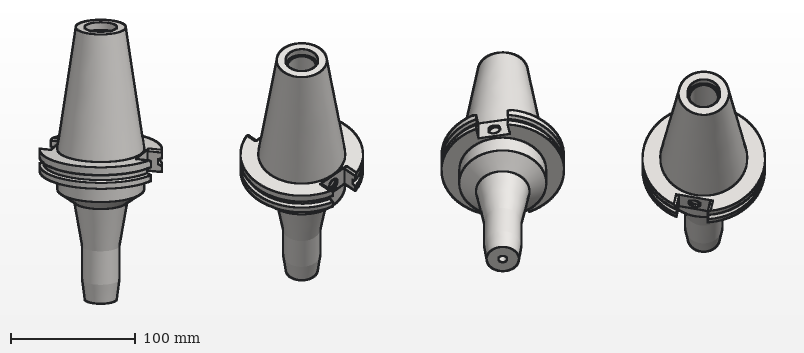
import cadquery as cq

total_length = 228.5
taper_length = 101.5
taper_slope = 7 / 24
gauge_radius = 35.0
gauge_z = total_length - taper_length
taper_end_radius = gauge_radius - taper_length * taper_slope / 2

flange_radius = 49.26
flange_bottom_z = 108.0
flange_top_z = 126.0
groove_radius = 46.2
groove_floor_bottom_z = 114.3
groove_floor_top_z = 118.2
groove_flank_height = 1.4

body_bottom_z = 92.4
neck_top_z = 82.3
neck_top_radius = 21.5
nose_top_z = 44.5
nose_radius = 15.0
tip_taper_z = 16.5
tip_radius = 13.0

counterbore_radius = 13.0
counterbore_depth = 6.5
drawbar_bore_radius = 11.5
drawbar_bore_depth = 45.7
step_bore_radius = 4.5
step_bore_depth = 68.5
through_bore_radius = 3.5

slot_floor_distance = {-1: 37.3, 1: 35.5}
slot_width = 25.5
slot_chamfer_width = 2.3
slot_chamfer_height = 1.5
floor_hole_radius = 4.8
floor_hole_depth = 2.3
floor_hole_z = 116.1


def make_body():
    """Revolve the outer profile about Z."""
    profile = [
        (0, 0),
        (tip_radius, 0),
        (nose_radius, tip_taper_z),
        (nose_radius, nose_top_z),
        (neck_top_radius, neck_top_z),
        (gauge_radius, body_bottom_z),
        (gauge_radius, flange_bottom_z),
        (flange_radius, flange_bottom_z),
        (flange_radius, groove_floor_bottom_z - groove_flank_height),
        (groove_radius, groove_floor_bottom_z),
        (groove_radius, groove_floor_top_z),
        (flange_radius, groove_floor_top_z + groove_flank_height),
        (flange_radius, flange_top_z),
        (gauge_radius, flange_top_z),
        (gauge_radius, gauge_z),
        (taper_end_radius, total_length),
        (0, total_length),
    ]
    return cq.Workplane("XZ").polyline(profile).close().revolve(360, (0, 0), (0, 1))


def bore_from_top(radius, depth):
    """Cylinder on the axis reaching down from the small end of the taper."""
    return cq.Workplane("XY").workplane(offset=total_length).circle(radius).extrude(-depth)


def drive_slot(side):
    """Slot cutter with chamfered upper edges; side is -1 or +1 along X."""
    half_width = slot_width / 2
    chamfer_half_width = half_width + slot_chamfer_width
    chamfer_z = flange_top_z - slot_chamfer_height
    outline = [
        (-half_width, flange_bottom_z),
        (half_width, flange_bottom_z),
        (half_width, chamfer_z),
        (chamfer_half_width, flange_top_z),
        (-chamfer_half_width, flange_top_z),
        (-half_width, chamfer_z),
    ]
    floor = cq.Workplane("YZ").workplane(offset=side * slot_floor_distance[side])
    return floor.polyline(outline).close().extrude(side * flange_radius)


def floor_hole(side):
    """Shallow round recess in the floor of a drive slot."""
    floor = cq.Workplane("YZ").workplane(offset=side * slot_floor_distance[side])
    return floor.center(0, floor_hole_z).circle(floor_hole_radius).extrude(-side * floor_hole_depth)


result = make_body()

for bore_radius, bore_depth in (
    (counterbore_radius, counterbore_depth),
    (drawbar_bore_radius, drawbar_bore_depth),
    (step_bore_radius, step_bore_depth),
    (through_bore_radius, total_length),
):
    result = result.cut(bore_from_top(bore_radius, bore_depth))

for slot_side in (-1, 1):
    result = result.cut(drive_slot(slot_side))
    result = result.cut(floor_hole(slot_side))